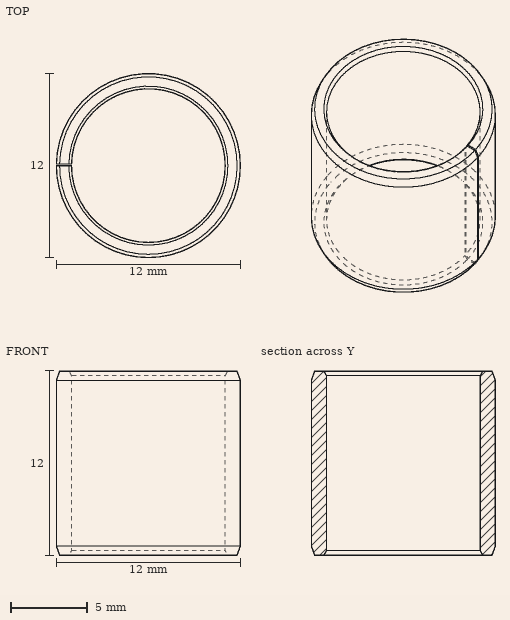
import cadquery as cq
import math

outer_diameter = 12.0
inner_diameter = 10.0
length = 12.0

outer_chamfer_height = 0.6
outer_chamfer_angle = 20.0
inner_chamfer_depth = 0.18
inner_chamfer_height = 0.3

slit_width = 0.1
slit_offset = slit_width / 2

outer_radius = outer_diameter / 2
inner_radius = inner_diameter / 2
half_length = length / 2
outer_chamfer_depth = outer_chamfer_height * math.tan(math.radians(outer_chamfer_angle))


def make_sleeve():
    """Revolve the wall section, chamfered inside and outside at both ends."""
    upper_half = [
        (outer_radius, half_length - outer_chamfer_height),
        (outer_radius - outer_chamfer_depth, half_length),
        (inner_radius + inner_chamfer_depth, half_length),
        (inner_radius, half_length - inner_chamfer_height),
    ]
    lower_half = [(radius, -height) for radius, height in reversed(upper_half)]
    section = cq.Workplane("XZ").polyline(upper_half + lower_half).close()
    return section.revolve(360, (0, 0), (0, 1))


def make_slit():
    """Full-length cutter through the wall on the -X side."""
    return (
        cq.Workplane("XY")
        .box(outer_radius, slit_width, length, centered=(False, True, True))
        .translate((-outer_radius, slit_offset, 0))
    )


result = make_sleeve().cut(make_slit())